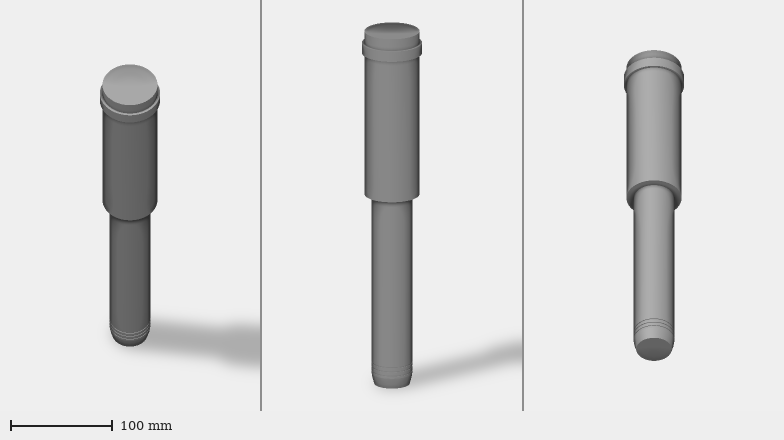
import cadquery as cq

total_length = 363.0
head_length = 168.0
collar_top_offset = 12.0
collar_height = 10.5
nose_height = 11.0

head_diameter = 54.0
collar_diameter = 59.0
shank_diameter = 40.0
nose_end_diameter = 35.0

groove_count = 3
groove_width = 1.0
groove_depth = 0.7
groove_pitch = 4.5
first_groove_bottom = 13.0

nose_bulge = 0.5


def cylinder(diameter, bottom, height):
    """Solid cylinder on the Z axis."""
    return cq.Workplane("XY", origin=(0, 0, bottom)).circle(diameter / 2).extrude(height)


def ring_groove(bottom):
    """Ring to cut away from the surface of the shank."""
    root_diameter = shank_diameter - 2 * groove_depth
    ring = cylinder(collar_diameter, bottom, groove_width)
    return ring.cut(cylinder(root_diameter, bottom, groove_width))


def rounded_nose():
    """End of the shank, narrowing along a convex arc to a flat face."""
    shank_radius = shank_diameter / 2
    end_radius = nose_end_diameter / 2
    arc_middle = ((shank_radius + end_radius) / 2 + nose_bulge, nose_height / 2)
    return (
        cq.Workplane("XZ")
        .lineTo(end_radius, 0)
        .threePointArc(arc_middle, (shank_radius, nose_height))
        .lineTo(0, nose_height)
        .close()
        .revolve(360, (0, 0, 0), (0, 1, 0))
    )


head_bottom = total_length - head_length
collar_bottom = total_length - collar_top_offset - collar_height

shank = cylinder(shank_diameter, nose_height, head_bottom - nose_height)
for index in range(groove_count):
    shank = shank.cut(ring_groove(first_groove_bottom + index * groove_pitch))

head = cylinder(head_diameter, head_bottom, head_length)
collar = cylinder(collar_diameter, collar_bottom, collar_height)

result = rounded_nose().union(shank).union(head).union(collar)